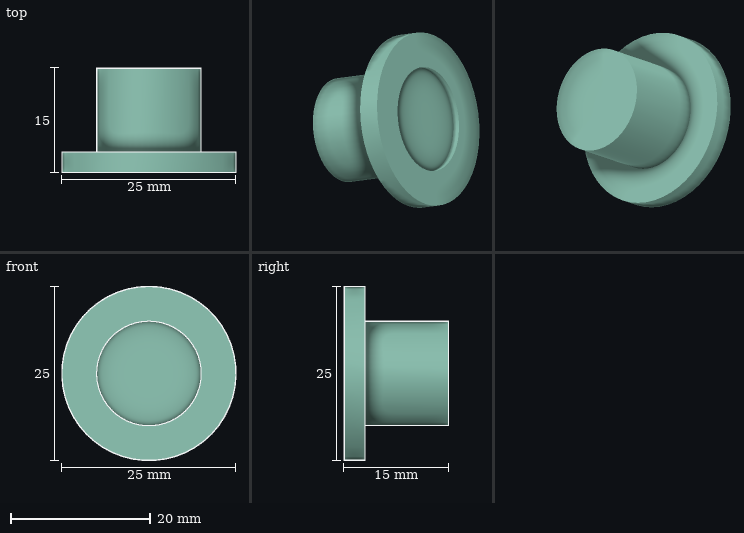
import cadquery as cq

flange_diameter = 25.0
flange_thickness = 3.0
stem_diameter = 15.0
total_length = 15.0
recess_diameter = stem_diameter
recess_depth = 1.0


def disc(diameter, start_y, length):
    """Solid cylinder running from start_y toward +Y."""
    axis_start = cq.Vector(0, start_y, 0)
    return cq.Workplane(cq.Solid.makeCylinder(diameter / 2, length, axis_start, cq.Vector(0, 1, 0)))


flange = disc(flange_diameter, 0, flange_thickness)
stem = disc(stem_diameter, flange_thickness, total_length - flange_thickness)

recess = disc(recess_diameter, 0, recess_depth)

result = flange.union(stem).cut(recess)